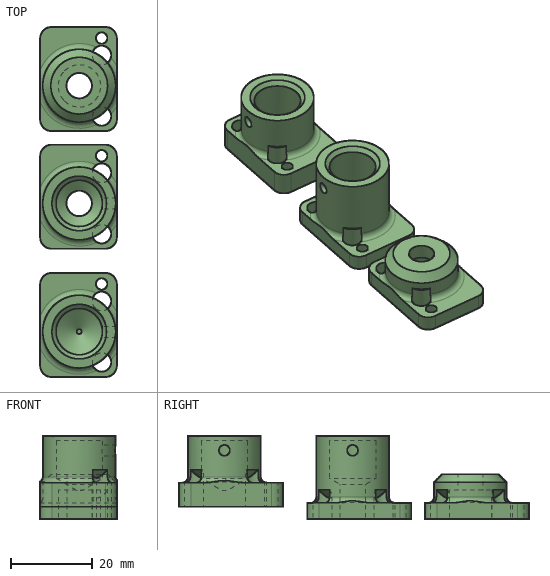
import cadquery as cq

PLATE_WIDTH = 19.0
PLATE_LENGTH = 25.8
CORNER_RADIUS = 2.9
BOSS_OFFSET_X = 0.2
BOSS_OFFSET_Y = 1.6

BOSS_DIAMETER = 18.0
BOSS_FILLET = 1.5

SCREW_DIAMETER = 4.7
SCREW_X = 5.5
SCREW_Y = 7.5
SCREW_RELIEF = 3.2
PILOT_DIAMETER = 2.8
PILOT_Y = 11.8

THROUGH_DIAMETER = 6.2
BORE_DIAMETER = 11.4
BORE_RIM_CHAMFER = 1.0
BORE_DEPTH = 10.4
CONE_SLOPE = 0.6
CROSS_HOLE_DIAMETER = 2.7
CROSS_HOLE_DEPTH = 3.55
TIP_DIAMETER = 1.2
CAP_RECESS_DIAMETER = 10.5
CAP_RECESS_DEPTH = 7.3

THIN_PLATE = 4.0
THICK_PLATE = 6.0
SHORT_BOSS_TOP = 11.1
TALL_BOSS_TOP = 20.5
SHORT_BOSS_CHAMFER = 2.0
CUP_BASE_Z = 3.0

TOTAL_LENGTH = 86.45
CAP_Y = (TOTAL_LENGTH - PLATE_LENGTH) / 2
SLEEVE_Y = 1.3
CUP_Y = -CAP_Y


def rounded_plate(thickness):
    """Plate with its bottom at Z = 0 and the boss axis at the origin."""
    return (
        cq.Workplane("XY")
        .center(-BOSS_OFFSET_X, BOSS_OFFSET_Y)
        .rect(PLATE_WIDTH, PLATE_LENGTH)
        .extrude(thickness)
        .edges("|Z")
        .fillet(CORNER_RADIUS)
    )


def flared_boss(plate_top, boss_top):
    """Cylinder whose foot flares out onto the plate, trimmed to the plate's width."""
    radius = BOSS_DIAMETER / 2
    flare = (
        cq.Workplane("XZ")
        .lineTo(radius + BOSS_FILLET, 0)
        .lineTo(radius + BOSS_FILLET, plate_top)
        .radiusArc((radius, plate_top + BOSS_FILLET), BOSS_FILLET)
        .lineTo(radius, boss_top)
        .lineTo(0, boss_top)
        .close()
        .revolve(360, (0, 0), (0, 1))
    )
    width_limit = (
        cq.Workplane("XY")
        .center(-BOSS_OFFSET_X, 0)
        .rect(PLATE_WIDTH, PLATE_LENGTH)
        .extrude(boss_top)
    )
    return flare.intersect(width_limit)


def screw_clearances(plate_thickness):
    """Screw holes that run up into the boss and end under a 45-degree conical roof."""
    boss_radius = BOSS_DIAMETER / 2
    roof_rim_z = plate_thickness + SCREW_RELIEF
    roof = cq.Solid.makeCone(0, boss_radius, boss_radius, cq.Vector(0, 0, roof_rim_z - boss_radius))
    return (
        cq.Workplane("XY")
        .pushPoints([(SCREW_X, -SCREW_Y), (SCREW_X, SCREW_Y)])
        .circle(SCREW_DIAMETER / 2)
        .extrude(roof_rim_z)
        .cut(cq.Workplane(roof))
    )


def flange(plate_thickness, boss_top):
    """Plate and boss with the three holes beside the boss."""
    pilot_hole = (
        cq.Workplane("XY")
        .center(SCREW_X, PILOT_Y)
        .circle(PILOT_DIAMETER / 2)
        .extrude(plate_thickness)
    )
    body = rounded_plate(plate_thickness).union(flared_boss(plate_thickness, boss_top))
    return body.cut(screw_clearances(plate_thickness)).cut(pilot_hole)


def through_hole(height):
    return cq.Workplane("XY").circle(THROUGH_DIAMETER / 2).extrude(height)


def coned_bore(top, tip_diameter):
    """Bore with a chamfered rim, tapering to tip_diameter at its end."""
    bore_radius = BORE_DIAMETER / 2
    rim_radius = bore_radius + BORE_RIM_CHAMFER
    tip_radius = tip_diameter / 2
    cone_top = top - BORE_DEPTH
    cone_tip = cone_top - CONE_SLOPE * (bore_radius - tip_radius)
    return (
        cq.Workplane("XZ")
        .moveTo(0, top)
        .lineTo(rim_radius, top)
        .lineTo(bore_radius, top - BORE_RIM_CHAMFER)
        .lineTo(bore_radius, cone_top)
        .lineTo(tip_radius, cone_tip)
        .lineTo(0, cone_tip)
        .close()
        .revolve(360, (0, 0), (0, 1))
    )


def cross_hole(top):
    """Radial hole through the +X wall of a bored boss."""
    return (
        cq.Workplane("YZ")
        .center(0, top - CROSS_HOLE_DEPTH)
        .circle(CROSS_HOLE_DIAMETER / 2)
        .extrude(BOSS_DIAMETER)
    )


def make_cap():
    """Low boss with a chamfered rim and a through hole that widens from below."""
    body = flange(THIN_PLATE, SHORT_BOSS_TOP).faces(">Z").edges().chamfer(SHORT_BOSS_CHAMFER)
    recess = cq.Workplane("XY").circle(CAP_RECESS_DIAMETER / 2).extrude(CAP_RECESS_DEPTH)
    return body.cut(through_hole(SHORT_BOSS_TOP)).cut(recess)


def make_sleeve():
    """Tall boss whose bore narrows to a through hole."""
    bore = coned_bore(TALL_BOSS_TOP, THROUGH_DIAMETER)
    body = flange(THIN_PLATE, TALL_BOSS_TOP)
    return body.cut(bore).cut(through_hole(TALL_BOSS_TOP)).cut(cross_hole(TALL_BOSS_TOP))


def make_cup():
    """Boss on a thick plate with a blind bore that ends in a cone."""
    height = TALL_BOSS_TOP - CUP_BASE_Z
    bore = coned_bore(height, TIP_DIAMETER)
    return flange(THICK_PLATE, height).cut(bore).cut(cross_hole(height))


cap = make_cap().translate((BOSS_OFFSET_X, CAP_Y - BOSS_OFFSET_Y, 0))
sleeve = make_sleeve().translate((BOSS_OFFSET_X, SLEEVE_Y - BOSS_OFFSET_Y, 0))
cup = make_cup().translate((BOSS_OFFSET_X, CUP_Y - BOSS_OFFSET_Y, CUP_BASE_Z))

result = cq.Compound.makeCompound([cap.val(), sleeve.val(), cup.val()])